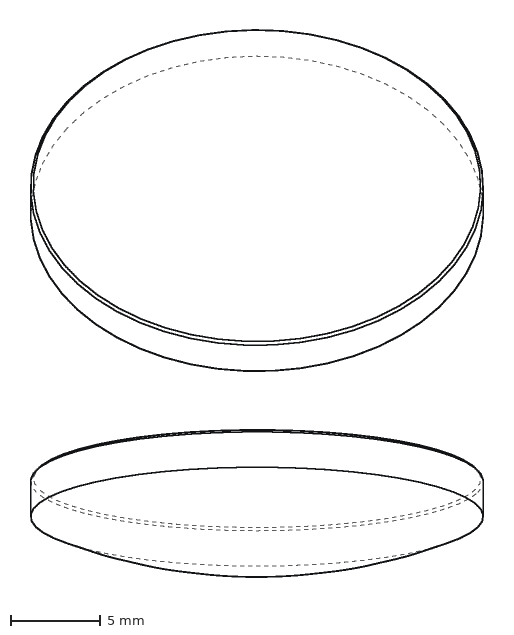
import cadquery as cq

diameter = 25.4
overall_height = 4.9
convex_sag = 2.72
concave_sag = 0.85
bevel_size = 0.15

radius = diameter / 2
concave_radius = radius - bevel_size
rim_bottom = convex_sag


def sphere_radius(half_width, sag):
    """Radius of the spherical cap with this half width and depth."""
    return (half_width**2 + sag**2) / (2 * sag)


def height_on_cap(pole_height, half_width, sag, distance):
    """Height of an upward-opening cap at a distance from the lens axis."""
    cap_radius = sphere_radius(half_width, sag)
    return pole_height + cap_radius - (cap_radius**2 - distance**2) ** 0.5


concave_pole = overall_height - concave_sag
convex_middle = (radius / 2, height_on_cap(0, radius, convex_sag, radius / 2))
concave_middle = (
    concave_radius / 2,
    height_on_cap(concave_pole, concave_radius, concave_sag, concave_radius / 2),
)

half_section = (
    cq.Workplane("XZ")
    .moveTo(0, 0)
    .threePointArc(convex_middle, (radius, rim_bottom))
    .lineTo(radius, overall_height - bevel_size)
    .lineTo(concave_radius, overall_height)
    .threePointArc(concave_middle, (0, concave_pole))
    .close()
)

result = half_section.revolve(360, (0, 0, 0), (0, 1, 0))